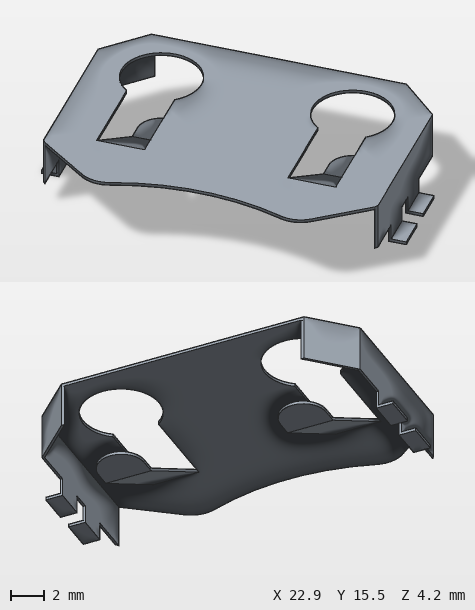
import cadquery as cq
import math


sheet = 0.2
height = 4.2
body_width = 21.0
foot_span = 22.9
depth = 15.5

back_chamfer = 2.5
nose_radius = 2.0
nose_x = 6.0
thumb_radius = 16.0
side_length = 12.5
inner_side_length = 12.7

wall_height = 3.0
wall_sheet = 0.15
foot_width = 2.0
foot_setbacks = (5.0, 8.1)

spring_x = 6.0
spring_width = 3.0
opening_radius = 2.5
opening_setback = 4.0
tip_setback = 4.05
bend_setback = 5.0
root_setback = 11.5

half_width = body_width / 2
back_y = depth / 2
plate_bottom = height - sheet
wall_bottom = height - wall_height
inner_x = half_width - wall_sheet
side_end_y = back_y - side_length
inner_end_y = back_y - inner_side_length
tip_y = back_y - tip_setback
opening_y = back_y - opening_setback
bend_y = back_y - bend_setback
root_y = back_y - root_setback
nose_y = -depth / 2 + nose_radius
thumb_y = nose_y - math.sqrt((thumb_radius + nose_radius) ** 2 - nose_x ** 2)


def box(x_range, y_range, z_range):
    """Axis-aligned box between pairs of limits."""
    (x0, x1), (y0, y1), (z0, z1) = x_range, y_range, z_range
    return cq.Workplane("XY").box(x1 - x0, y1 - y0, z1 - z0, centered=False).translate((x0, y0, z0))


def on_nose(angle):
    """Point at an angle on the rounded nose of the +X side."""
    return (nose_x + nose_radius * math.cos(angle), nose_y + nose_radius * math.sin(angle))


def mirrored(point):
    """The same point on the other side of X = 0."""
    return (-point[0], point[1])


def plate_outline():
    """Closed outline of the top plate."""
    reach_x = inner_x - nose_x
    reach_y = inner_end_y - nose_y
    slant_angle = math.atan2(reach_y, reach_x) - math.acos(nose_radius / math.hypot(reach_x, reach_y))
    thumb_angle = math.atan2(thumb_y - nose_y, -nose_x)
    slant_end = on_nose(slant_angle)
    nose_middle = on_nose((slant_angle + thumb_angle) / 2)
    nose_end = on_nose(thumb_angle)
    return (
        cq.Workplane("XY")
        .moveTo(half_width - back_chamfer, back_y)
        .lineTo(half_width, back_y - back_chamfer)
        .lineTo(half_width, side_end_y)
        .lineTo(inner_x, inner_end_y)
        .lineTo(*slant_end)
        .threePointArc(nose_middle, nose_end)
        .threePointArc((0, thumb_y + thumb_radius), mirrored(nose_end))
        .threePointArc(mirrored(nose_middle), mirrored(slant_end))
        .lineTo(-inner_x, inner_end_y)
        .lineTo(-half_width, side_end_y)
        .lineTo(-half_width, back_y - back_chamfer)
        .lineTo(-half_width + back_chamfer, back_y)
        .close()
    )


def make_walls():
    """Both side walls with their angled back ends, trimmed to the plate outline."""
    inner_corner_y = back_y - back_chamfer - wall_sheet * math.tan(math.pi / 8)
    inner_back_x = inner_x - (back_y - inner_corner_y)
    cavity = (
        cq.Workplane("XY")
        .polyline([
            (inner_back_x, back_y),
            (inner_x, inner_corner_y),
            (inner_x, -back_y),
            (-inner_x, -back_y),
            (-inner_x, inner_corner_y),
            (-inner_back_x, back_y),
        ])
        .close()
        .extrude(height)
    )
    side_zone = box((-half_width, half_width), (inner_end_y, back_y), (wall_bottom, height))
    walls = plate_outline().extrude(height).intersect(side_zone)
    return walls.cut(cavity)


def make_foot(side, setback):
    """L-shaped solder foot below a side wall; side is +1 or -1."""
    back = back_y - setback
    profile = [
        (side * half_width, wall_bottom),
        (side * half_width, sheet),
        (side * foot_span / 2, sheet),
        (side * foot_span / 2, 0),
        (side * inner_x, 0),
        (side * inner_x, wall_bottom),
    ]
    return cq.Workplane("XZ", origin=(0, back, 0)).polyline(profile).close().extrude(foot_width)


def make_opening(x):
    """Keyhole cutter: a round hole running into the slot left by the spring."""
    hole = cq.Workplane("XY").center(x, opening_y).circle(opening_radius).extrude(height)
    slot = box((x - spring_width / 2, x + spring_width / 2), (root_y, opening_y), (0, height))
    return hole.union(slot)


def make_spring(x):
    """Spring sloping down from the plate to a flat contact pad with a round tip."""
    blade_profile = [
        (root_y, height),
        (bend_y, sheet),
        (bend_y, 0),
        (root_y, plate_bottom),
    ]
    blade = (
        cq.Workplane("YZ", origin=(x - spring_width / 2, 0, 0))
        .polyline(blade_profile)
        .close()
        .extrude(spring_width)
    )
    pad = box((x - spring_width / 2, x + spring_width / 2), (bend_y, tip_y), (0, sheet))
    rounding = cq.Workplane("XY").center(x, tip_y).circle(spring_width / 2).extrude(sheet)
    back_half = box((x - spring_width / 2, x + spring_width / 2), (tip_y, back_y), (0, sheet))
    return blade.union(pad).union(rounding.intersect(back_half))


result = plate_outline().extrude(sheet).translate((0, 0, plate_bottom))
for x in (-spring_x, spring_x):
    result = result.cut(make_opening(x)).union(make_spring(x))
result = result.union(make_walls())
for side in (-1, 1):
    for setback in foot_setbacks:
        result = result.union(make_foot(side, setback))